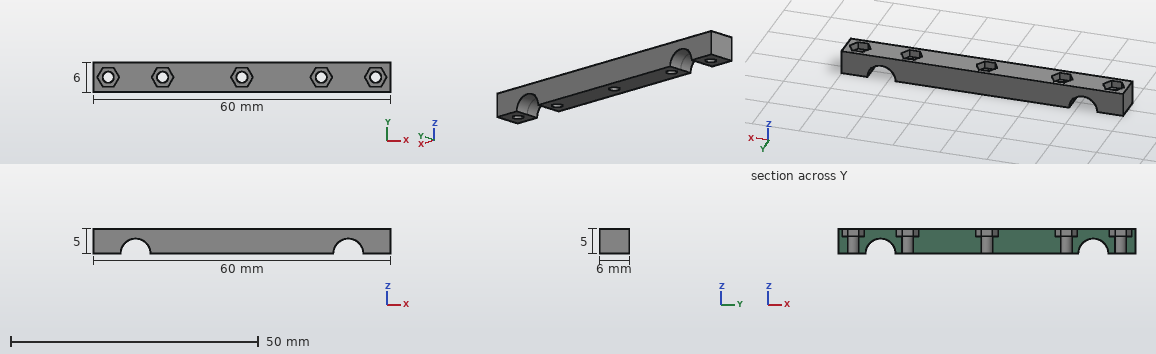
import cadquery as cq

length = 60.0
width = 6.0
height = 5.0

channel_diameter = 6.0
channel_offset = 21.5

hole_diameter = 2.2
nut_corner_diameter = 4.45
nut_depth = 1.5
inner_hole_offset = 16.0
outer_hole_offset = 27.0
hole_positions = [
    (x, 0)
    for x in (-outer_hole_offset, -inner_hole_offset, 0, inner_hole_offset, outer_hole_offset)
]


def make_bar():
    """Plain bar resting on the XY plane, centred in X and Y."""
    return cq.Workplane("XY").box(length, width, height, centered=(True, True, False))


def make_channels():
    """Cylinders along Y, with their axes on the bottom face."""
    return (
        cq.Workplane("XZ")
        .pushPoints([(-channel_offset, 0), (channel_offset, 0)])
        .circle(channel_diameter / 2)
        .extrude(width / 2, both=True)
    )


def make_holes():
    """Round holes through the full height."""
    return cq.Workplane("XY").pushPoints(hole_positions).circle(hole_diameter / 2).extrude(height)


def make_nut_pockets():
    """Hexagonal pockets sunk from the top face, with corners pointing along X."""
    return (
        cq.Workplane("XY", origin=(0, 0, height))
        .pushPoints(hole_positions)
        .polygon(6, nut_corner_diameter)
        .extrude(-nut_depth)
    )


result = make_bar().cut(make_channels()).cut(make_holes()).cut(make_nut_pockets())